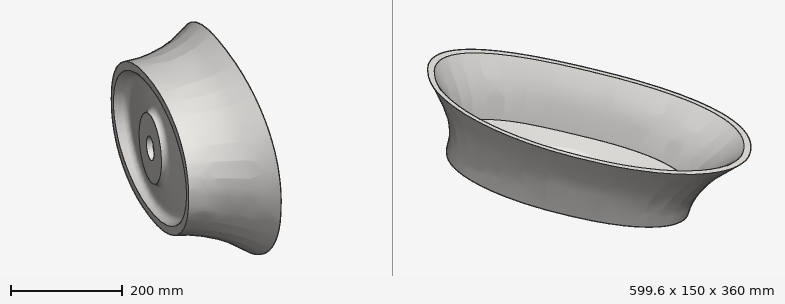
import cadquery as cq
import math

LENGTH = 599.5
DEPTH = 150.0
RIM_DIP = 11.0
TRIM_ALLOWANCE = 30.0
WALL = 12.0

OUTER_SECTIONS = [
    (0.0, 225.0, 135.0),
    (60.0, 237.0, 144.5),
    (100.0, 259.5, 158.0),
    (DEPTH, LENGTH / 2, 188.5),
]

OUTER_FULLNESS = 2.2
RECESS_FULLNESS = 2.06
OUTLINE_POINTS = 32

FOOT_RING_WIDTH = 13.0
RECESS_TOP = 30.0
RECESS_DRAFT = 0.6
RECESS_FILLET = 15.0

FLOOR_RADIUS = 189.5
FLOOR_Y = 24.0

BOSS_BASE_RADIUS = 78.5
BOSS_FACE_RADIUS = 65.0
BOSS_BASE_Y = 13.0
BOSS_FACE_Y = 0.5
BOSS_FLANK_SAG = 2.5
DRAIN_DIAMETER = 44.5


def signed_power(value, exponent):
    return math.copysign(abs(value) ** exponent, value)


def outline_wire(section, fullness):
    """Closed smooth outline at height y."""
    y, half_length, half_height = section
    points = []
    for i in range(OUTLINE_POINTS):
        angle = 2 * math.pi * i / OUTLINE_POINTS
        x = half_length * signed_power(math.cos(angle), 2 / fullness)
        z = half_height * signed_power(math.sin(angle), 2 / fullness)
        points.append(cq.Vector(x, y, z))
    return cq.Wire.assembleEdges([cq.Edge.makeSpline(points, periodic=True)])


def loft(sections, fullness=OUTER_FULLNESS, ruled=False):
    wires = [outline_wire(section, fullness) for section in sections]
    return cq.Workplane(cq.Solid.makeLoft(wires, ruled))


def inset_section(section, inset):
    y, half_length, half_height = section
    return (y, half_length - inset, half_height - inset)


def flared(sections):
    """Smooth flared body, continued straight past the rim for trimming."""
    y_low, x_low, z_low = sections[-2]
    y_top, x_top, z_top = sections[-1]
    growth = TRIM_ALLOWANCE / (y_top - y_low)
    lip = (
        y_top + TRIM_ALLOWANCE,
        x_top + growth * (x_top - x_low),
        z_top + growth * (z_top - z_low),
    )
    return loft(sections).union(loft([sections[-1], lip], ruled=True))


def saddle_cutter():
    """Everything above the rim, bounded below by an arc along X."""
    half = LENGTH / 2
    top = DEPTH + 2 * TRIM_ALLOWANCE
    return (
        cq.Workplane("XY")
        .moveTo(-half, DEPTH)
        .threePointArc((0, DEPTH - RIM_DIP), (half, DEPTH))
        .lineTo(LENGTH, DEPTH)
        .lineTo(LENGTH, top)
        .lineTo(-LENGTH, top)
        .lineTo(-LENGTH, DEPTH)
        .close()
        .extrude(LENGTH / 2, both=True)
    )


def above_floor(rise=0.0):
    """Everything above the floor surface, raised by the given amount."""
    slope = (FLOOR_Y - BOSS_BASE_Y) / (FLOOR_RADIUS - BOSS_BASE_RADIUS)
    outer_radius = LENGTH
    outer_y = FLOOR_Y + slope * (outer_radius - FLOOR_RADIUS)
    flank_middle = (
        (BOSS_FACE_RADIUS + BOSS_BASE_RADIUS) / 2 - BOSS_FLANK_SAG,
        (BOSS_FACE_Y + BOSS_BASE_Y) / 2 + BOSS_FLANK_SAG,
    )
    return (
        cq.Workplane("XY")
        .moveTo(0, BOSS_FACE_Y)
        .lineTo(BOSS_FACE_RADIUS, BOSS_FACE_Y)
        .threePointArc(flank_middle, (BOSS_BASE_RADIUS, BOSS_BASE_Y))
        .lineTo(outer_radius, outer_y)
        .lineTo(outer_radius, 2 * DEPTH)
        .lineTo(0, 2 * DEPTH)
        .close()
        .revolve(360, (0, 0, 0), (0, 1, 0))
        .translate((0, rise, 0))
    )


def bowl_interior():
    """Hollow of the basin: flared walls down to the floor and the drain sump."""
    walls = flared([inset_section(section, WALL) for section in OUTER_SECTIONS])
    return walls.intersect(above_floor(WALL))


def foot_recess():
    """Hollow under the basin, leaving the foot ring and the drain boss."""
    foot_inner = inset_section(OUTER_SECTIONS[0], FOOT_RING_WIDTH)
    _, half_length, half_height = inset_section(foot_inner, RECESS_DRAFT * RECESS_TOP)
    top = (RECESS_TOP, half_length, half_height)
    hollow = loft([foot_inner, top], RECESS_FULLNESS, ruled=True).cut(above_floor())
    near_axis = BOSS_FACE_RADIUS / 2
    floor_edge = cq.selectors.BoxSelector(
        (-near_axis, BOSS_BASE_Y + BOSS_FACE_Y, -near_axis),
        (near_axis, RECESS_TOP, near_axis),
    )
    return hollow.edges(floor_edge).fillet(RECESS_FILLET)


def drain_hole():
    return cq.Workplane("XZ").circle(DRAIN_DIAMETER / 2).extrude(DEPTH, both=True)


body = flared(OUTER_SECTIONS).cut(bowl_interior())
result = body.cut(foot_recess()).cut(drain_hole()).cut(saddle_cutter())